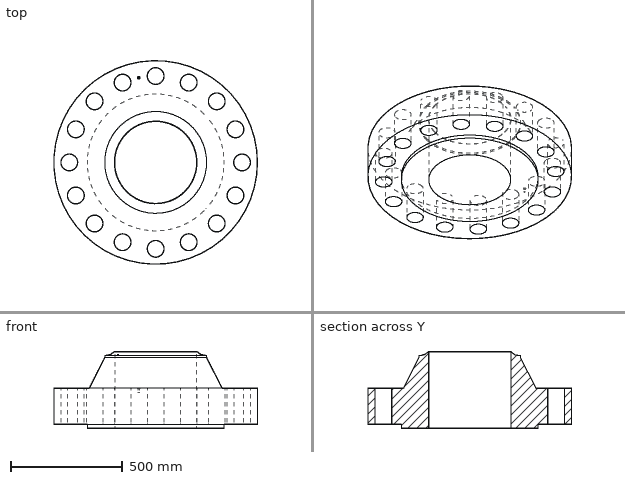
import cadquery as cq
import math

flange_diameter = 914.0
flange_thickness = 163.0
raised_face_diameter = 614.0
raised_face_height = 17.0

overall_height = 345.0
bore_diameter = 367.5
hub_base_diameter = 597.0
hub_rim_diameter = 457.0
hub_rim_height = 8.0
root_face_width = 2.0
bevel_break_from_bore = 19.0
steep_bevel_angle = 37.5
shallow_bevel_angle = 10.0
hub_blend_radius = 3.0
bevel_blend_radius = 4.0
edge_margin = 1.0

bolt_count = 16
bolt_hole_diameter = 74.0
bolt_circle_diameter = 775.0

small_hole_diameter = 5.5
small_hole_depth = 18.0
countersink_diameter = 12.0
bolt_pitch_angle = 360 / bolt_count
small_hole_angle = 90 + bolt_pitch_angle / 2


def bevel_drop(width, angle):
    """Height lost across a bevel of the given radial width, sloping down from the end plane."""
    return width * math.tan(math.radians(angle))


def flange_body():
    """Revolve the half section of the flange, raised face, hub and weld bevel about Z."""
    bore_radius = bore_diameter / 2
    raised_face_radius = raised_face_diameter / 2
    flange_radius = flange_diameter / 2
    hub_base_radius = hub_base_diameter / 2
    rim_radius = hub_rim_diameter / 2
    root_radius = bore_radius + root_face_width
    break_radius = bore_radius + bevel_break_from_bore

    flange_top = raised_face_height + flange_thickness
    break_z = overall_height - bevel_drop(break_radius - root_radius, steep_bevel_angle)
    rim_top = break_z - bevel_drop(rim_radius - break_radius, shallow_bevel_angle)
    rim_bottom = rim_top - hub_rim_height

    body = (
        cq.Workplane("XZ")
        .moveTo(bore_radius, 0)
        .lineTo(raised_face_radius, 0)
        .lineTo(raised_face_radius, raised_face_height)
        .lineTo(flange_radius, raised_face_height)
        .lineTo(flange_radius, flange_top)
        .lineTo(hub_base_radius, flange_top)
        .lineTo(rim_radius, rim_bottom)
        .lineTo(rim_radius, rim_top)
        .lineTo(break_radius, break_z)
        .lineTo(root_radius, overall_height)
        .lineTo(bore_radius, overall_height)
        .close()
        .revolve(360, (0, 0, 0), (0, 1, 0))
    )
    blends = (
        (hub_base_radius, flange_top, hub_blend_radius),
        (break_radius, break_z, bevel_blend_radius),
    )
    for radius, height, blend_radius in blends:
        edge_box = cq.selectors.BoxSelector(
            (-radius - edge_margin, -radius - edge_margin, height - edge_margin),
            (radius + edge_margin, radius + edge_margin, height + edge_margin),
            boundingbox=True,
        )
        body = body.edges(edge_box).fillet(blend_radius)
    return body


def bolt_holes():
    """Cylinders through the flange, evenly spaced on the bolt circle."""
    return (
        cq.Workplane("XY")
        .polarArray(bolt_circle_diameter / 2, 0, 360, bolt_count)
        .circle(bolt_hole_diameter / 2)
        .extrude(raised_face_height + flange_thickness)
    )


def small_hole():
    """Blind hole with a 45-degree countersink in the top of the flange, on the bolt circle."""
    angle = math.radians(small_hole_angle)
    radius = bolt_circle_diameter / 2
    top = raised_face_height + flange_thickness
    hole_radius = small_hole_diameter / 2
    countersink_radius = countersink_diameter / 2
    countersink_depth = countersink_radius - hole_radius
    return (
        cq.Workplane("XZ")
        .moveTo(0, 0)
        .lineTo(countersink_radius, 0)
        .lineTo(hole_radius, -countersink_depth)
        .lineTo(hole_radius, -small_hole_depth)
        .lineTo(0, -small_hole_depth)
        .close()
        .revolve(360, (0, 0, 0), (0, 1, 0))
        .translate((radius * math.cos(angle), radius * math.sin(angle), top))
    )


result = flange_body().cut(bolt_holes()).cut(small_hole())